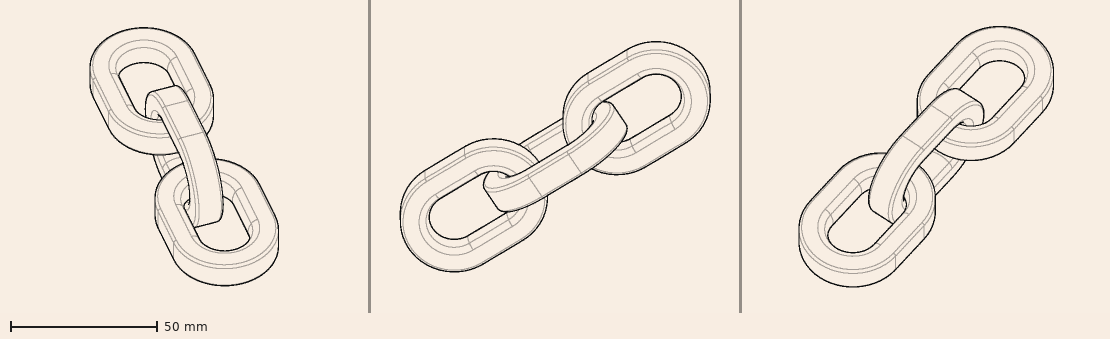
import cadquery as cq

chain_length = 119.0
link_length = 53.0
link_width = 37.0
link_thickness = 10.0
band_width = 7.7
outer_fillet = 1.0
inner_fillet = 2.9

link_pitch = (chain_length - link_length) / 2
half_thickness = link_thickness / 2
straight_length = link_length - link_width
half_straight = straight_length / 2
outer_radius = link_width / 2
rim_radius = outer_radius - band_width

crown_thickness = (link_length - link_pitch) / 2
crown_radius = outer_radius - crown_thickness


def make_path():
    """Closed oval, two straights joined by half circles, that follows the rim of the opening."""
    return (
        cq.Workplane("XY")
        .moveTo(-half_straight, rim_radius)
        .lineTo(half_straight, rim_radius)
        .threePointArc((half_straight + rim_radius, 0), (half_straight, -rim_radius))
        .lineTo(-half_straight, -rim_radius)
        .threePointArc((-half_straight - rim_radius, 0), (-half_straight, rim_radius))
        .close()
    )


def make_section():
    """Cross-section of the band: three flat sides and a crowned inner side."""
    return (
        cq.Workplane("YZ", origin=(-half_straight, 0, 0))
        .moveTo(rim_radius, -half_thickness)
        .lineTo(outer_radius, -half_thickness)
        .lineTo(outer_radius, half_thickness)
        .lineTo(rim_radius, half_thickness)
        .threePointArc((crown_radius, 0), (rim_radius, -half_thickness))
        .close()
    )


def make_link():
    """Oval link centred on the origin, long axis on X, thickness along Z."""
    band = make_section().sweep(make_path())

    margin = band_width / 2
    box_corner = cq.Vector(half_straight + rim_radius + margin, rim_radius + margin, link_thickness)
    near_rim = cq.selectors.BoxSelector((-box_corner).toTuple(), box_corner.toTuple(), boundingbox=True)
    band = band.faces("|Z").edges(near_rim).fillet(inner_fillet)

    outside = cq.selectors.InverseSelector(near_rim)
    return band.faces("|Z").edges(outside).fillet(outer_fillet)


end_links = [make_link().translate((side * link_pitch, 0, 0)) for side in (-1, 1)]

middle_link = make_link().rotate((0, 0, 0), (1, 0, 0), 90)

result = cq.Compound.makeCompound([middle_link.val(), *[link.val() for link in end_links]])